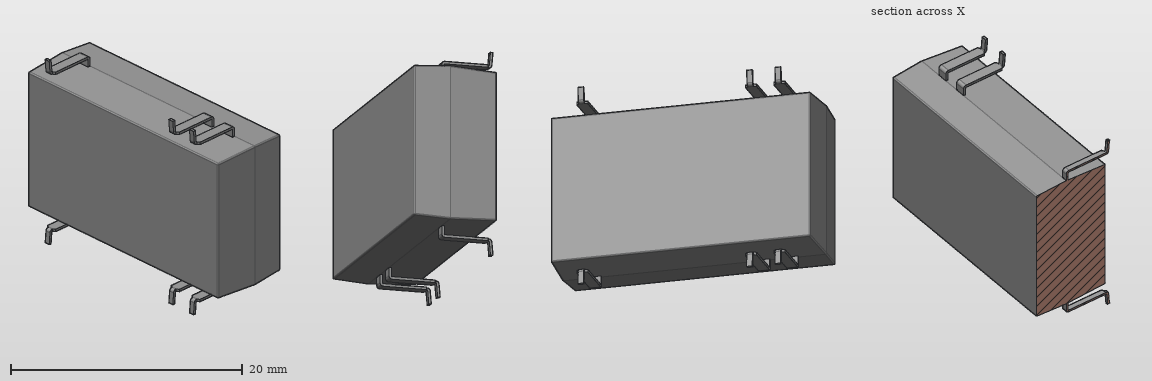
import cadquery as cq
import math

case_length = 23.85
case_height = 13.72
front_depth = 4.27
back_depth = 3.25
draft_angle = 3.0
edge_radius = 0.12

lead_positions = (-8.9, 6.35, 8.9)
lead_thickness = 0.25
lead_width = 1.0
tail_width = 0.5
lead_reach = 9.07
arm_outer_height = 7.87
arm_end = 4.35
tail_tilt = 5.0
bend_inner_radius = 0.06
arm_chamfer_depth = 0.15
lead_embedding = 0.48
tail_overlap = 0.48

half_thickness = lead_thickness / 2
bend_radius = bend_inner_radius + half_thickness
arm_height = arm_outer_height - half_thickness


def make_case_half(depth, direction):
    """One tapered half, running from the parting plane toward -Y (1) or +Y (-1)."""
    half = (
        cq.Workplane("XZ")
        .rect(case_length, case_height)
        .extrude(direction * depth, taper=draft_angle)
    )
    parting_side = ">Y" if direction > 0 else "<Y"
    return half.edges(f"not {parting_side}").fillet(edge_radius)


def make_corner_wedge():
    """Triangle that slants the arm's +X end corner back from the tail's side."""
    outline = [
        (tail_width / 2, -arm_end),
        (lead_width / 2, -arm_end),
        (lead_width / 2, -arm_end + arm_chamfer_depth),
    ]
    return (
        cq.Workplane("XY", origin=(0, 0, arm_height - half_thickness))
        .polyline(outline)
        .close()
        .extrude(lead_thickness)
    )


def make_leg_and_arm():
    """Wide part: up out of the case, then bent forward along -Y, with slanted end corners."""
    leg_y = -half_thickness
    leg_start_z = case_height / 2 - lead_embedding
    path = (
        cq.Workplane("YZ")
        .moveTo(leg_y, leg_start_z)
        .lineTo(leg_y, arm_height - bend_radius)
        .tangentArcPoint((-bend_radius, bend_radius))
        .lineTo(-arm_end, arm_height)
    )
    strip = (
        cq.Workplane("XY", origin=(0, leg_y, leg_start_z))
        .rect(lead_width, lead_thickness)
        .sweep(path)
    )
    wedge = make_corner_wedge()
    return strip.cut(wedge).cut(wedge.mirror("YZ"))


def make_tail():
    """Narrow part: the arm's end bent up into a slightly leaning tail."""
    turn = math.radians(90 - tail_tilt)
    bend_centre_z = arm_height + bend_radius
    bend_end_y = -arm_end - bend_radius * math.sin(turn)
    bend_end_z = bend_centre_z - bend_radius * math.cos(turn)
    tip_z = lead_reach - half_thickness * math.cos(turn)
    tip_y = bend_end_y - (tip_z - bend_end_z) / math.tan(turn)
    start_y = -arm_end + tail_overlap
    path = (
        cq.Workplane("YZ")
        .moveTo(start_y, arm_height)
        .lineTo(-arm_end, arm_height)
        .tangentArcPoint((bend_end_y, bend_end_z), relative=False)
        .lineTo(tip_y, tip_z)
    )
    return (
        cq.Workplane("XZ", origin=(0, start_y, arm_height))
        .rect(tail_width, lead_thickness)
        .sweep(path)
    )


case = make_case_half(front_depth, 1).union(make_case_half(back_depth, -1))

upper_lead = make_leg_and_arm().union(make_tail())
lower_lead = upper_lead.mirror("XY")

result = case
for x in lead_positions:
    for lead in (upper_lead, lower_lead):
        result = result.union(lead.translate((x, 0, 0)))